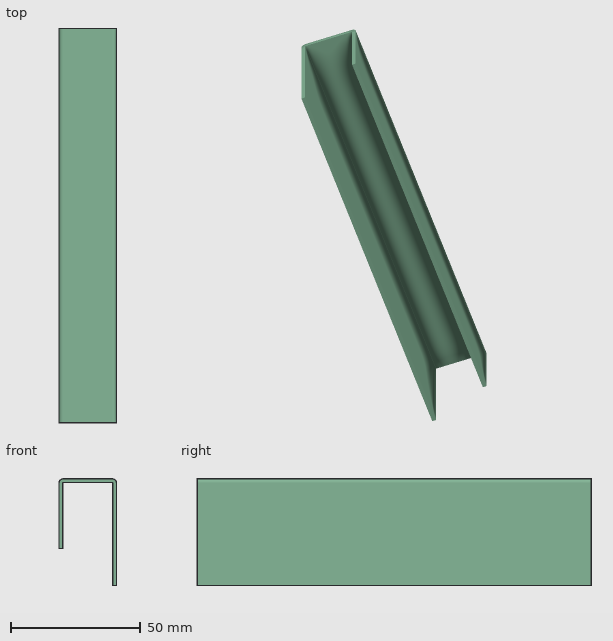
import cadquery as cq

length = 152.4
width = 22.3
long_leg_height = 41.3
short_leg_height = 27.0

thickness = 1.5
outer_bend_radius = 1.7
inner_bend_radius = outer_bend_radius - thickness

right = width / 2
left = -right
top = long_leg_height / 2
long_leg_bottom = -top
short_leg_bottom = top - short_leg_height


def channel_blank():
    """Unequal-leg channel with sharp bends, extruded along Y."""
    profile = [
        (left, top),
        (right, top),
        (right, long_leg_bottom),
        (right - thickness, long_leg_bottom),
        (right - thickness, top - thickness),
        (left + thickness, top - thickness),
        (left + thickness, short_leg_bottom),
        (left, short_leg_bottom),
    ]
    return cq.Workplane("XZ").polyline(profile).close().extrude(length / 2, both=True)


def round_bends(channel):
    """Round the outside and inside of both lengthwise bends."""
    outer_edges = channel.faces(">Z").edges("|Y")
    rounded = outer_edges.fillet(outer_bend_radius)
    inner_web_point = (0, 0, top - thickness)
    inner_web = rounded.faces(cq.selectors.NearestToPointSelector(inner_web_point))
    return inner_web.edges("|Y").fillet(inner_bend_radius)


result = round_bends(channel_blank())